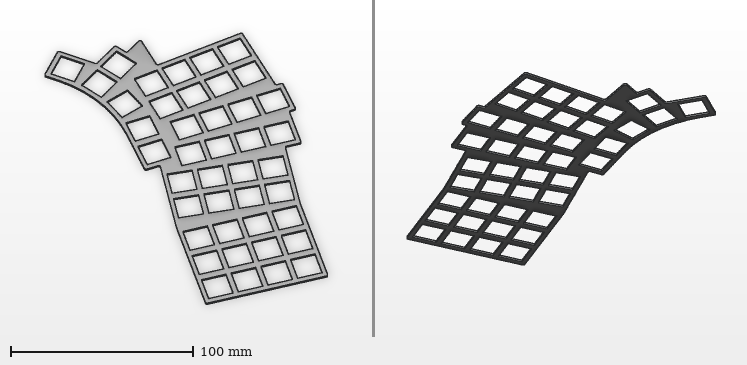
import cadquery as cq
import math

thickness = 1.2
window = 14.0
column_pitch = 18.0
rows = 4
full_column_span = 51.0
row_pitch = full_column_span / (rows - 1)
side_margin = 3.0
end_margin = 2.5
thumb_arc_radius = 71.0
corner_radius = 1.0
ledge_end_x = -92.5


class KeyBlock:
    """A tilted grid of windows, placed by the centre of its lower-left window."""

    def __init__(self, x, y, tilt, columns, row_count):
        self.x = x
        self.y = y
        self.tilt = tilt
        self.columns = columns
        self.row_count = row_count

    def place(self, along, up):
        """Plate position of a point given in the block's own tilted axes."""
        angle = math.radians(self.tilt)
        return (
            self.x + along * math.cos(angle) - up * math.sin(angle),
            self.y + along * math.sin(angle) + up * math.cos(angle),
        )

    def window_centres(self):
        return [
            self.place(column * column_pitch, row * row_pitch)
            for column in range(self.columns)
            for row in range(self.row_count)
        ]

    def left(self):
        return self.place(-window / 2 - side_margin, 0), self.tilt + 90

    def right(self):
        last_column = (self.columns - 1) * column_pitch
        return self.place(last_column + window / 2 + side_margin, 0), self.tilt + 90

    def bottom(self):
        return self.place(0, -window / 2 - end_margin), self.tilt

    def top(self):
        last_row = (self.row_count - 1) * row_pitch
        return self.place(0, last_row + window / 2 + end_margin), self.tilt


def crossing(first_line, second_line):
    """Point where two lines meet."""
    (x1, y1), angle1 = first_line
    (x2, y2), angle2 = second_line
    dx1, dy1 = math.cos(math.radians(angle1)), math.sin(math.radians(angle1))
    dx2, dy2 = math.cos(math.radians(angle2)), math.sin(math.radians(angle2))
    distance = ((x2 - x1) * dy2 - (y2 - y1) * dx2) / (dx1 * dy2 - dy1 * dx2)
    return x1 + distance * dx1, y1 + distance * dy1


straight = KeyBlock(-62.0, -7.3, 0, 2, rows)
tall = KeyBlock(-25.3, -4.0, -5, 1, rows)
shoulder = KeyBlock(-7.5, -10.5, -10, 1, rows)
steep = KeyBlock(8.4, -23.5, -15, 2, rows)
end = KeyBlock(48.5, -33.5, -10, 3, rows)

thumb_tip = KeyBlock(-91.6, -43.8, 40, 1, 1)
thumb_pair = KeyBlock(-74.5, -33.0, 25, 1, 2)
thumb_middle = KeyBlock(-55.3, -27.0, 10, 1, 1)
thumb_right = KeyBlock(-35.3, -26.0, -5, 2, 1)

blocks = [straight, tall, shoulder, steep, end, thumb_tip, thumb_pair, thumb_middle, thumb_right]

ledge = (straight.place(0, row_pitch / 2), 0)
ledge_end = ((ledge_end_x, straight.y + row_pitch / 2), thumb_pair.tilt + 90)

thumb_arc_corner = crossing(thumb_right.bottom(), thumb_tip.bottom())
outline = [
    crossing(straight.left(), straight.top()),
    crossing(straight.top(), tall.left()),
    crossing(tall.left(), tall.top()),
    crossing(tall.top(), tall.right()),
    crossing(tall.right(), shoulder.top()),
    crossing(shoulder.top(), shoulder.right()),
    crossing(shoulder.right(), steep.top()),
    crossing(steep.top(), end.top()),
    crossing(end.top(), end.right()),
    crossing(end.right(), end.bottom()),
    crossing(end.bottom(), steep.bottom()),
    crossing(steep.bottom(), thumb_right.right()),
    crossing(thumb_right.right(), thumb_right.bottom()),
    thumb_arc_corner,
    crossing(thumb_tip.bottom(), thumb_tip.left()),
    crossing(thumb_tip.left(), thumb_tip.top()),
    crossing(thumb_tip.top(), thumb_pair.left()),
    crossing(thumb_pair.left(), thumb_pair.top()),
    crossing(thumb_pair.top(), ledge_end),
    crossing(ledge_end, ledge),
    crossing(ledge, straight.left()),
]

plate = cq.Workplane("XY").polyline(outline).close().extrude(thickness)


upright_edges = cq.selectors.ParallelDirSelector(cq.Vector(0, 0, 1))
thumb_arc_edge = cq.selectors.NearestToPointSelector((*thumb_arc_corner, thickness / 2))
plate = plate.edges(upright_edges - thumb_arc_edge).fillet(corner_radius)
plate = plate.edges(thumb_arc_edge).fillet(thumb_arc_radius)

for block in blocks:
    for centre in block.window_centres():
        cutter = cq.Workplane("XY").rect(window, window).extrude(thickness)
        plate = plate.cut(cutter.rotate((0, 0, 0), (0, 0, 1), block.tilt).translate(centre))

result = plate